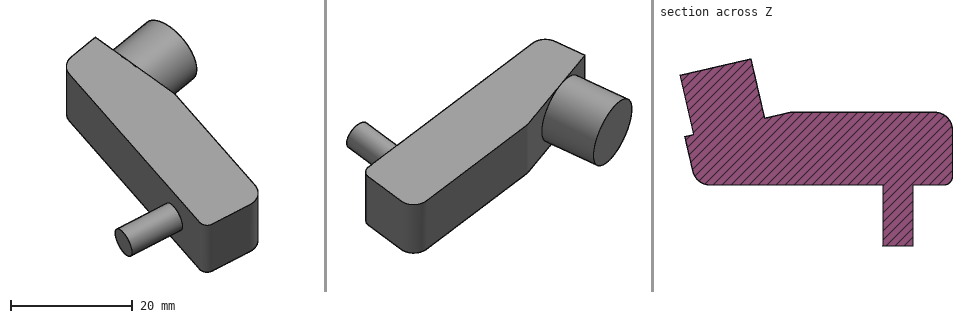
import cadquery as cq
import math

body_length = 44.05
body_depth = 12.0
body_height = 12.0
slope_angle = 13.0
slope_corner_y = 8.0
large_radius = 3.0
small_radius = 1.5
boss_diameter = 12.0
boss_length = 10.0
boss_margin = 1.5
pin_diameter = 5.0
pin_length = 10.0
pin_inset = 9.0
joint_overlap = 0.9

slope = math.radians(slope_angle)
slope_direction = cq.Vector(math.cos(slope), math.sin(slope), 0)
slope_normal = cq.Vector(-math.sin(slope), math.cos(slope), 0)
slope_corner = cq.Vector(-body_length, slope_corner_y, 0)


def make_body():
    """Block with a sloped back face and a left end square to that face."""
    slope_end_x = slope_corner.x + (body_depth - slope_corner_y) / math.tan(slope)
    left_foot_x = slope_corner.x + slope_corner_y * math.tan(slope)
    body = (
        cq.Workplane("XY")
        .polyline([
            (0, 0),
            (0, body_depth),
            (slope_end_x, body_depth),
            (slope_corner.x, slope_corner.y),
            (left_foot_x, 0),
        ])
        .close()
        .extrude(body_height / 2, both=True)
    )

    def upright_edge(x, y):
        return cq.selectors.NearestToPointSelector((x, y, 0))

    body = body.edges("|Z").edges(upright_edge(0, body_depth)).fillet(large_radius)
    body = body.edges("|Z").edges(upright_edge(left_foot_x, 0)).fillet(large_radius)
    return body.edges("|Z").edges(upright_edge(0, 0)).fillet(small_radius)


def make_rod(base, direction, diameter, length):
    """Cylinder standing out from base by length and sunk in by the overlap."""
    start = base - direction * joint_overlap
    return cq.Solid.makeCylinder(diameter / 2, length + joint_overlap, start, direction)


boss_base = slope_corner + slope_direction * (boss_margin + boss_diameter / 2)
boss = make_rod(boss_base, slope_normal, boss_diameter, boss_length)
pin = make_rod(cq.Vector(-pin_inset, 0, 0), cq.Vector(0, -1, 0), pin_diameter, pin_length)

result = make_body().union(boss).union(pin)